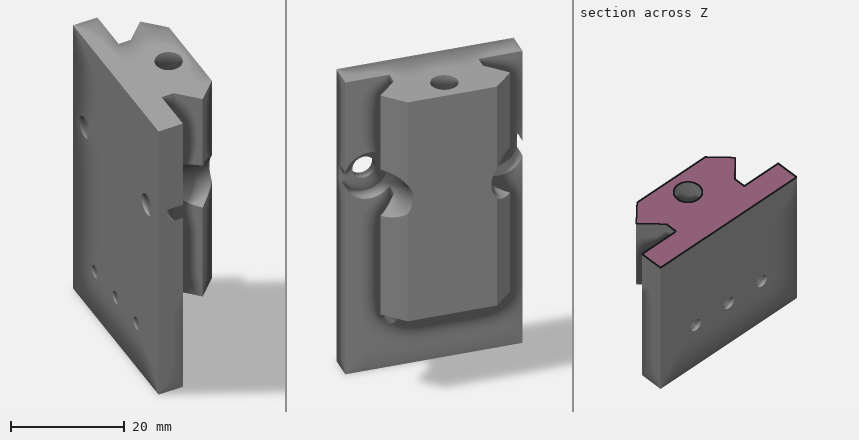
import cadquery as cq

plate_width = 33.0
plate_thickness = 4.8
plate_height = 60.0

rail_length = 45.0
rail_bottom = plate_height - rail_length
total_depth = 14.75
neck_half_width = 8.3
flare = 3.8
tip_half_width = neck_half_width + flare
tip_y = total_depth - flare
neck_end_y = tip_y - flare

bore_diameter = 5.0
bore_y = 10.45

mount_diameter = 4.25
mount_spacing = 24.0
mount_z = 40.0
counterbore_diameter = 9.5
counterbore_floor_y = 1.8

small_diameter = 2.5
small_pitch = 8.0
small_z = 10.0


def cylinder_along_y(x, z, diameter, start_y, end_y):
    """Round cutter running in +Y between two depths."""
    return cq.Workplane(cq.Solid.makeCylinder(
        diameter / 2, end_y - start_y, cq.Vector(x, start_y, z), cq.Vector(0, 1, 0)
    ))


def make_plate():
    return cq.Workplane("XY").box(
        plate_width, plate_thickness, plate_height, centered=(True, False, False)
    )


def make_rail():
    right_side = [
        (neck_half_width, 0),
        (neck_half_width, neck_end_y),
        (tip_half_width, tip_y),
        (neck_half_width, total_depth),
    ]
    left_side = [(-x, y) for x, y in reversed(right_side)]
    return (
        cq.Workplane("XY", origin=(0, 0, rail_bottom))
        .polyline(right_side + left_side)
        .close()
        .extrude(rail_length)
    )


result = make_plate().union(make_rail())

bore = (
    cq.Workplane("XY", origin=(0, bore_y, rail_bottom))
    .circle(bore_diameter / 2)
    .extrude(rail_length)
)
result = result.cut(bore)

for side in (-1, 1):
    mount_x = side * mount_spacing / 2
    result = result.cut(cylinder_along_y(mount_x, mount_z, mount_diameter, 0, total_depth))
    result = result.cut(
        cylinder_along_y(mount_x, mount_z, counterbore_diameter, counterbore_floor_y, total_depth)
    )

for step in (-1, 0, 1):
    result = result.cut(
        cylinder_along_y(step * small_pitch, small_z, small_diameter, 0, plate_thickness)
    )